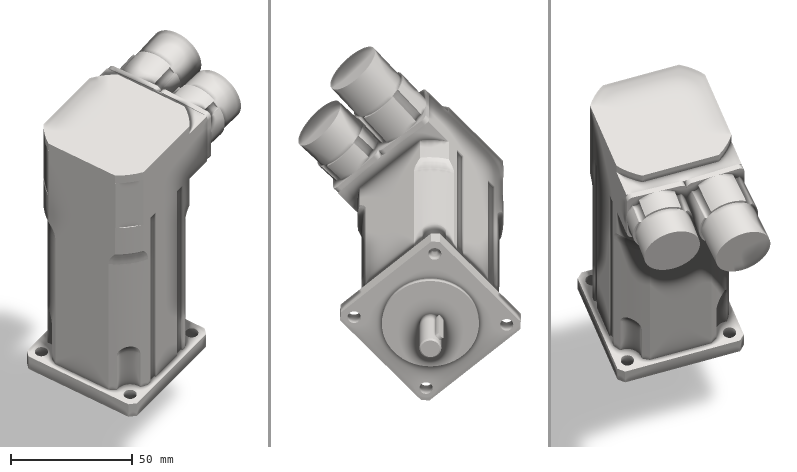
import cadquery as cq
import math


SHAFT_DIAMETER = 9.0
SHAFT_LENGTH = 21.7
SHAFT_CHAMFER = 0.6
KEY_WIDTH = 3.0
KEY_LENGTH = 17.7
KEY_BOTTOM = 3.3
KEY_REACH = 5.9

PILOT_DIAMETER = 40.0
PILOT_HEIGHT = 2.3
FLANGE_SIZE = 55.0
FLANGE_THICKNESS = 7.1
FLANGE_CHAMFER = 2.5
BOLT_SPACING = 44.5
BOLT_HOLE_DIAMETER = 5.5
FLANGE_BOTTOM = SHAFT_LENGTH + PILOT_HEIGHT
FLANGE_TOP = FLANGE_BOTTOM + FLANGE_THICKNESS

TOTAL_HEIGHT = 155.0
BODY_SIZE = 50.0
HALF_BODY = BODY_SIZE / 2
LOWER_CORNER_RADIUS = 28.4
UPPER_CORNER_RADIUS = 30.0
CORNER_STEP_BOTTOM = 102.8
CORNER_STEP_TOP = 110.0

SCALLOP_RADIUS = 6.0
SCALLOP_TOP = 50.2

GROOVE_WIDTH = 3.9
GROOVE_DEPTH = 1.0
GROOVE_OFFSET = 9.6

BLOCK_BOTTOM = 125.1
BLOCK_TOP = 150.7
BLOCK_HEIGHT = BLOCK_TOP - BLOCK_BOTTOM
BLOCK_CHAMFER = 8.2
BLOCK_REAR = 30.0
SPLAY_ANGLE = 2.0
SPLAY_SLOPE = math.tan(math.radians(SPLAY_ANGLE))

CONNECTOR_OFFSET = 12.7
CONNECTOR_Z = 138.0
PLATE_WIDTH = 2 * CONNECTOR_OFFSET
PLATE_HEIGHT = 26.0
PLATE_THICKNESS = 2.3
PLATE_CORNER_RADIUS = 2.5
COLLAR_DIAMETER = 26.0
SLEEVE_DIAMETER = 24.0
NOTCH_DIAMETER = 3.9
NOTCH_ANGLES = (45, 135, 225, 315)
POWER_COLLAR_LENGTH = 15.0
POWER_SLEEVE_LENGTH = 16.6
SIGNAL_COLLAR_LENGTH = 9.0
SIGNAL_SLEEVE_LENGTH = 12.5


def cylinder_z(diameter, bottom, top):
    return cq.Workplane("XY").workplane(offset=bottom).circle(diameter / 2).extrude(top - bottom)


def cylinder_y(diameter, start, end):
    return cq.Workplane("XZ").workplane(offset=-start).circle(diameter / 2).extrude(start - end)


def square_bar(size, bottom, top):
    return cq.Workplane("XY").workplane(offset=bottom).rect(size, size).extrude(top - bottom)


def make_shaft():
    return cylinder_z(SHAFT_DIAMETER, 0, SHAFT_LENGTH).faces("<Z").chamfer(SHAFT_CHAMFER)


def make_key():
    return (
        cq.Workplane("YZ")
        .center(0, KEY_BOTTOM + KEY_LENGTH / 2)
        .slot2D(KEY_LENGTH, KEY_WIDTH, 90)
        .extrude(-KEY_REACH)
    )


def make_flange():
    flange = square_bar(FLANGE_SIZE, FLANGE_BOTTOM, FLANGE_TOP).edges("|Z").chamfer(FLANGE_CHAMFER)
    flange = (
        flange.faces(">Z").workplane(origin=(0, 0, 0))
        .rect(BOLT_SPACING, BOLT_SPACING, forConstruction=True).vertices()
        .hole(BOLT_HOLE_DIAMETER)
    )
    return flange.union(cylinder_z(PILOT_DIAMETER, SHAFT_LENGTH, FLANGE_BOTTOM))


def make_corner_turning():
    """Round envelope of the column; an arc tangent to the lower part leads out to the upper one."""
    step_height = CORNER_STEP_TOP - CORNER_STEP_BOTTOM
    step_width = UPPER_CORNER_RADIUS - LOWER_CORNER_RADIUS
    return (
        cq.Workplane("XZ")
        .moveTo(0, FLANGE_TOP)
        .lineTo(LOWER_CORNER_RADIUS, FLANGE_TOP)
        .lineTo(LOWER_CORNER_RADIUS, CORNER_STEP_BOTTOM)
        .tangentArcPoint((step_width, step_height))
        .lineTo(UPPER_CORNER_RADIUS, BLOCK_BOTTOM)
        .lineTo(0, BLOCK_BOTTOM)
        .close()
        .revolve(360, (0, 0, 0), (0, 1, 0))
    )


def make_bolt_scallops():
    shank = cylinder_z(2 * SCALLOP_RADIUS, FLANGE_TOP, SCALLOP_TOP)
    scallop = shank.union(cq.Workplane("XY").sphere(SCALLOP_RADIUS).translate((0, 0, SCALLOP_TOP)))
    scallops = cq.Workplane("XY")
    for x_side in (-1, 1):
        for y_side in (-1, 1):
            place = (x_side * BOLT_SPACING / 2, y_side * BOLT_SPACING / 2, 0)
            scallops = scallops.add(scallop.translate(place))
    return scallops.combine()


def make_side_grooves():
    centres = [
        (x_side * HALF_BODY, y_side * GROOVE_OFFSET)
        for x_side in (-1, 1)
        for y_side in (-1, 1)
    ]
    return (
        cq.Workplane("XY").workplane(offset=FLANGE_TOP)
        .pushPoints(centres)
        .rect(2 * GROOVE_DEPTH, GROOVE_WIDTH)
        .extrude(BLOCK_BOTTOM - FLANGE_TOP)
    )


def make_column():
    column = square_bar(BODY_SIZE, FLANGE_TOP, BLOCK_BOTTOM).intersect(make_corner_turning())
    return column.cut(make_bolt_scallops()).cut(make_side_grooves())


def make_terminal_block():
    rear_side = BLOCK_REAR - HALF_BODY * SPLAY_SLOPE
    chamfer_end = HALF_BODY - BLOCK_CHAMFER
    return (
        cq.Workplane("XY").workplane(offset=BLOCK_BOTTOM)
        .moveTo(0, BLOCK_REAR)
        .lineTo(-HALF_BODY, rear_side)
        .lineTo(-HALF_BODY, -chamfer_end)
        .lineTo(-chamfer_end, -HALF_BODY)
        .lineTo(chamfer_end, -HALF_BODY)
        .lineTo(HALF_BODY, -chamfer_end)
        .lineTo(HALF_BODY, rear_side)
        .close()
        .extrude(BLOCK_HEIGHT)
    )


def make_top_cap():
    bar = square_bar(BODY_SIZE, BLOCK_TOP, TOTAL_HEIGHT)
    return bar.intersect(cylinder_z(2 * UPPER_CORNER_RADIUS, BLOCK_TOP, TOTAL_HEIGHT))


def make_motor():
    """Housing, shaft and key as one body."""
    return (
        make_flange()
        .union(make_column())
        .union(make_terminal_block())
        .union(make_top_cap())
        .union(make_shaft())
        .union(make_key())
    )


def make_connector(side, collar_length, sleeve_length):
    """Connector on the -X (side = -1) or +X (side = 1) half of the rear face."""
    collar_end = PLATE_THICKNESS + collar_length
    plate = (
        cq.Workplane("XY")
        .box(PLATE_WIDTH, PLATE_THICKNESS, PLATE_HEIGHT, centered=(True, False, True))
        .edges("|Y").fillet(PLATE_CORNER_RADIUS)
    )
    collar = cylinder_y(COLLAR_DIAMETER, PLATE_THICKNESS, collar_end)
    notch = cylinder_y(NOTCH_DIAMETER, PLATE_THICKNESS, collar_end).translate((COLLAR_DIAMETER / 2, 0, 0))
    for angle in NOTCH_ANGLES:
        collar = collar.cut(notch.rotate((0, 0, 0), (0, 1, 0), angle))
    sleeve = cylinder_y(SLEEVE_DIAMETER, collar_end, collar_end + sleeve_length)
    connector = plate.union(collar).union(sleeve)

    base = (side * CONNECTOR_OFFSET, BLOCK_REAR - CONNECTOR_OFFSET * SPLAY_SLOPE, CONNECTOR_Z)
    connector = connector.rotate((0, 0, 0), (0, 0, 1), -side * SPLAY_ANGLE).translate(base)

    own_half = cq.Workplane("XY").box(TOTAL_HEIGHT, TOTAL_HEIGHT, TOTAL_HEIGHT)
    return connector.intersect(own_half.translate((side * TOTAL_HEIGHT / 2, 0, CONNECTOR_Z)))


motor = make_motor()
connectors = [
    make_connector(side, collar_length, sleeve_length).val()
    for side, collar_length, sleeve_length in (
        (-1, POWER_COLLAR_LENGTH, POWER_SLEEVE_LENGTH),
        (1, SIGNAL_COLLAR_LENGTH, SIGNAL_SLEEVE_LENGTH),
    )
]

result = cq.Compound.makeCompound([motor.val(), *connectors])